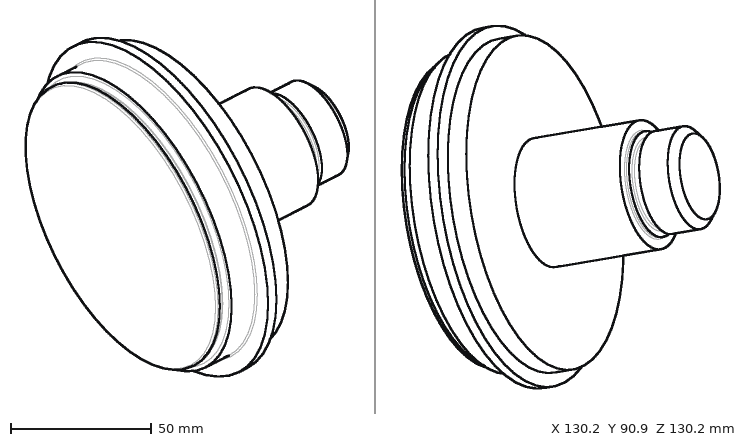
import cadquery as cq
import math

flange_radius = 65.1
back_disc_radius = 60.3
body_radius = 58.2
neck_radius = 55.1
lip_radius = 55.7
shaft_radius = 23.3
collar_radius = 19.1
groove_radius = 16.3
head_radius = 18.6

lip_back = 1.4
body_front = 4.8
flange_front = 15.9
flange_rim_back = 19.7
flange_cone_back = 21.2
disc_back = 28.6
shaft_back = 71.0
collar_back = 72.5
head_front = 76.3
overall_length = 90.9

lip_round = 0.7
body_neck_fillet = 1.5
lip_sweep_length = 1.5
flange_root_fillet = 0.7
collar_root_fillet = 0.5
groove_fillet = 0.7
head_chamfer = 3.1


def add_corner_arc(profile, corner, size, from_step, to_step):
    """Round a square corner; steps are unit moves from the corner along its two legs."""
    start = (corner[0] + size * from_step[0], corner[1] + size * from_step[1])
    end = (corner[0] + size * to_step[0], corner[1] + size * to_step[1])
    inset = size * (1 - math.sqrt(0.5))
    middle = (
        corner[0] + inset * (from_step[0] + to_step[0]),
        corner[1] + inset * (from_step[1] + to_step[1]),
    )
    return profile.lineTo(*start).threePointArc(middle, end)


OUTWARD = (1, 0)
INWARD = (-1, 0)
BACKWARD = (0, 1)
FORWARD = (0, -1)

profile = cq.Workplane("XY").moveTo(0, 0)

profile = add_corner_arc(profile, (lip_radius, 0), lip_round, INWARD, BACKWARD)
profile = profile.lineTo(lip_radius, lip_back)
lip_step = lip_radius - neck_radius
lip_arc_radius = (lip_sweep_length**2 + lip_step**2) / (2 * lip_step)
profile = profile.radiusArc((neck_radius, lip_back + lip_sweep_length), lip_arc_radius)
profile = add_corner_arc(profile, (neck_radius, body_front), body_neck_fillet, FORWARD, OUTWARD)

profile = profile.lineTo(body_radius, body_front)
profile = add_corner_arc(profile, (body_radius, flange_front), flange_root_fillet, FORWARD, OUTWARD)
profile = (
    profile.lineTo(flange_radius, flange_front)
    .lineTo(flange_radius, flange_rim_back)
    .lineTo(back_disc_radius, flange_cone_back)
    .lineTo(back_disc_radius, disc_back)
    .lineTo(shaft_radius, disc_back)
)

profile = profile.lineTo(shaft_radius, shaft_back)
profile = add_corner_arc(profile, (collar_radius, shaft_back), collar_root_fillet, OUTWARD, BACKWARD)
profile = profile.lineTo(collar_radius, collar_back)

profile = add_corner_arc(profile, (groove_radius, collar_back), groove_fillet, OUTWARD, BACKWARD)
profile = add_corner_arc(profile, (groove_radius, head_front), groove_fillet, FORWARD, OUTWARD)

profile = (
    profile.lineTo(head_radius, head_front)
    .lineTo(head_radius, overall_length - head_chamfer)
    .lineTo(head_radius - head_chamfer, overall_length)
    .lineTo(0, overall_length)
    .close()
)

result = profile.revolve(360, (0, 0, 0), (0, 1, 0))